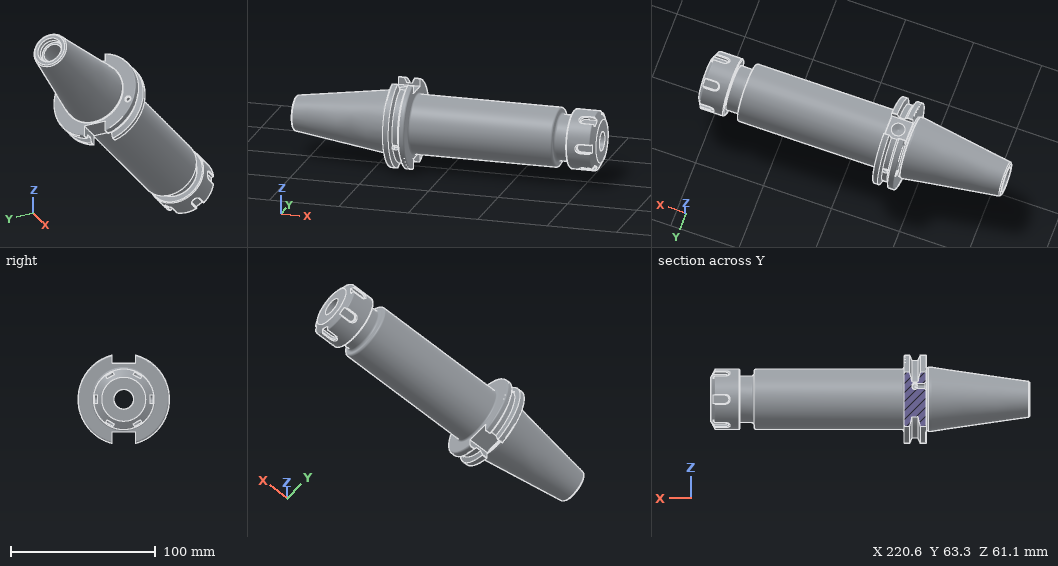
import cadquery as cq
import math

TOTAL_LENGTH = 220.6

TAPER_RATIO = 7 / 24
GAUGE_X = 68.0
GAUGE_RADIUS = 22.3
GAUGE_LAND = 2.5
LAND_CHAMFER = 0.5
NECK_RADIUS = 21.8
TAPER_END_CHAMFER = 0.9

FLANGE_X = 71.5
FLANGE_WIDTH = 15.7
FLANGE_RADIUS = 31.66
FLANGE_FRONT_FILLET = 0.7
FLANGE_BACK_FILLET = 1.3
GROOVE_CENTRE_X = 79.5
GROOVE_FLOOR_WIDTH = 4.0
GROOVE_RADIUS = 28.0
GROOVE_WALL_ANGLE = 25

DRIVE_SLOT_WIDTH = 16.0
DRIVE_SLOT_CHAMFER = 0.33
TOP_SLOT_FLOOR = 25.0
BOTTOM_SLOT_FLOOR = 22.7
DIMPLE_DIAMETER = 9.5
DIMPLE_ANGLE = 120

COOLANT_MOUTH_DIAMETER = 4.2
COOLANT_MOUTH_DEPTH = 0.9
COOLANT_DIAMETER = 3.3
COOLANT_OUTLET_DIAMETER = 4.0
COOLANT_OUTLET_DEPTH = 2.6
COOLANT_RADIUS = 27.0
COOLANT_ANGLE = 20

BODY_RADIUS = 21.0
BODY_END_X = 190.6
BODY_END_FILLET = 1.5
ROOT_FILLET = 1.3
SHANK_RADIUS = 16.22
SHANK_FILLET = 1.8
SPIGOT_RADIUS = 16.0
SPIGOT_END_X = 214.0

BORE_DIAMETER = 13.5
COUNTERBORE_DIAMETER = 16.3
COUNTERBORE_DEPTH = 5.0
COUNTERSINK_DIAMETER = 18.0
COUNTERSINK_DEPTH = 2.2

NUT_X = 200.4
NUT_RADIUS = 21.0
NUT_BACK_CHAMFER = 0.7
NUT_CONE_X = 217.5
NUT_CONE_FILLET = 0.9
NUT_FACE_RADIUS = 15.2
NUT_SLOT_COUNT = 6
NUT_SLOT_START_X = 207.5
NUT_SLOT_FLOOR = 18.0
NUT_SLOT_WIDTH = 5.7
NUT_SLOT_RIM_RADIUS = 20.0
NUT_SLOT_RIM_CHAMFER = 0.7
RIM_ANGLE = 45

CLEARANCE = 2.2


def revolve_about_x(profile):
    """Revolve a closed profile drawn as (x, radius) about the X axis."""
    return profile.close().revolve(360, (0, 0, 0), (1, 0, 0))


def cylinder_along_x(radius, start, length):
    return cq.Workplane("YZ", origin=(start, 0, 0)).circle(radius).extrude(length)


def turned_holder():
    tip_radius = GAUGE_RADIUS - GAUGE_X * TAPER_RATIO / 2
    land_end = GAUGE_X + GAUGE_LAND
    flange_end = FLANGE_X + FLANGE_WIDTH
    return revolve_about_x(
        cq.Workplane("XY")
        .moveTo(0, 0)
        .lineTo(0, tip_radius - TAPER_END_CHAMFER)
        .lineTo(TAPER_END_CHAMFER, tip_radius + TAPER_END_CHAMFER * TAPER_RATIO / 2)
        .lineTo(GAUGE_X, GAUGE_RADIUS)
        .lineTo(land_end - LAND_CHAMFER, GAUGE_RADIUS)
        .lineTo(land_end, NECK_RADIUS)
        .lineTo(FLANGE_X, NECK_RADIUS)
        .lineTo(FLANGE_X, FLANGE_RADIUS - FLANGE_FRONT_FILLET)
        .radiusArc((FLANGE_X + FLANGE_FRONT_FILLET, FLANGE_RADIUS), FLANGE_FRONT_FILLET)
        .lineTo(flange_end - FLANGE_BACK_FILLET, FLANGE_RADIUS)
        .radiusArc((flange_end, FLANGE_RADIUS - FLANGE_BACK_FILLET), FLANGE_BACK_FILLET)
        .lineTo(flange_end, BODY_RADIUS + ROOT_FILLET)
        .radiusArc((flange_end + ROOT_FILLET, BODY_RADIUS), -ROOT_FILLET)
        .lineTo(BODY_END_X - BODY_END_FILLET, BODY_RADIUS)
        .radiusArc((BODY_END_X, BODY_RADIUS - BODY_END_FILLET), BODY_END_FILLET)
        .lineTo(BODY_END_X, SHANK_RADIUS + SHANK_FILLET)
        .radiusArc((BODY_END_X + SHANK_FILLET, SHANK_RADIUS), -SHANK_FILLET)
        .lineTo(NUT_X, SHANK_RADIUS)
        .lineTo(NUT_X, SPIGOT_RADIUS)
        .lineTo(SPIGOT_END_X, SPIGOT_RADIUS)
        .lineTo(SPIGOT_END_X, 0)
    )


def gripper_groove():
    top_radius = FLANGE_RADIUS + CLEARANCE
    half_floor = GROOVE_FLOOR_WIDTH / 2
    half_top = half_floor + (top_radius - GROOVE_RADIUS) * math.tan(math.radians(GROOVE_WALL_ANGLE))
    return revolve_about_x(
        cq.Workplane("XY")
        .moveTo(GROOVE_CENTRE_X - half_floor, GROOVE_RADIUS)
        .lineTo(GROOVE_CENTRE_X + half_floor, GROOVE_RADIUS)
        .lineTo(GROOVE_CENTRE_X + half_top, top_radius)
        .lineTo(GROOVE_CENTRE_X - half_top, top_radius)
    )


def drive_slot(floor, direction):
    """Slot across the flange; direction is +1 for the top and -1 for the bottom."""
    half_width = DRIVE_SLOT_WIDTH / 2
    rim = math.sqrt(FLANGE_RADIUS**2 - half_width**2)
    chamfer_start = rim - DRIVE_SLOT_CHAMFER
    top = FLANGE_RADIUS + CLEARANCE
    half_top = half_width + top - chamfer_start
    slot = (
        cq.Workplane("YZ", origin=(FLANGE_X, 0, 0))
        .moveTo(-half_width, floor)
        .lineTo(half_width, floor)
        .lineTo(half_width, chamfer_start)
        .lineTo(half_top, top)
        .lineTo(-half_top, top)
        .lineTo(-half_width, chamfer_start)
        .close()
        .extrude(FLANGE_WIDTH)
    )
    return slot if direction > 0 else slot.rotate((0, 0, 0), (1, 0, 0), 180)


def orientation_dimple():
    """Conical dimple in the floor of the top slot."""
    radius = DIMPLE_DIAMETER / 2
    depth = radius / math.tan(math.radians(DIMPLE_ANGLE / 2))
    rim_centre = cq.Vector(GROOVE_CENTRE_X, 0, TOP_SLOT_FLOOR)
    cone = cq.Solid.makeCone(radius, 0, depth, rim_centre, cq.Vector(0, 0, -1))
    return cq.Workplane(obj=cone)


def coolant_hole(angle):
    """Stepped hole from the flange front face that meets a radial outlet in the groove floor."""
    mouth = cylinder_along_x(COOLANT_MOUTH_DIAMETER / 2, FLANGE_X, COOLANT_MOUTH_DEPTH)
    feed = cylinder_along_x(COOLANT_DIAMETER / 2, FLANGE_X, GROOVE_CENTRE_X - FLANGE_X)
    outlet = (
        cq.Workplane("XZ", origin=(GROOVE_CENTRE_X, GROOVE_RADIUS - COOLANT_OUTLET_DEPTH, 0))
        .circle(COOLANT_OUTLET_DIAMETER / 2)
        .extrude(-COOLANT_OUTLET_DEPTH - CLEARANCE)
    )
    hole = mouth.union(feed).translate((0, COOLANT_RADIUS, 0)).union(outlet)
    return hole.rotate((0, 0, 0), (1, 0, 0), angle)


def stepped_bore(end):
    """Through bore with a counterbore and a countersink at the taper end."""
    bore_radius = BORE_DIAMETER / 2
    counterbore_radius = COUNTERBORE_DIAMETER / 2
    countersink_radius = COUNTERSINK_DIAMETER / 2
    return revolve_about_x(
        cq.Workplane("XY")
        .moveTo(0, 0)
        .lineTo(0, countersink_radius)
        .lineTo(COUNTERSINK_DEPTH, counterbore_radius)
        .lineTo(COUNTERBORE_DEPTH, counterbore_radius)
        .lineTo(COUNTERBORE_DEPTH, bore_radius)
        .lineTo(end, bore_radius)
        .lineTo(end, 0)
    )


def make_holder():
    holder = turned_holder().cut(gripper_groove())
    holder = holder.cut(drive_slot(TOP_SLOT_FLOOR, 1)).cut(drive_slot(BOTTOM_SLOT_FLOOR, -1))
    holder = holder.cut(orientation_dimple())
    for angle in (COOLANT_ANGLE, COOLANT_ANGLE + 180):
        holder = holder.cut(coolant_hole(angle))
    return holder.cut(stepped_bore(SPIGOT_END_X))


def turned_nut():
    bore_radius = BORE_DIAMETER / 2
    return revolve_about_x(
        cq.Workplane("XY")
        .moveTo(NUT_X, SPIGOT_RADIUS)
        .lineTo(NUT_X, NUT_RADIUS - NUT_BACK_CHAMFER)
        .lineTo(NUT_X + NUT_BACK_CHAMFER, NUT_RADIUS)
        .lineTo(NUT_CONE_X, NUT_RADIUS)
        .lineTo(TOTAL_LENGTH, NUT_FACE_RADIUS)
        .lineTo(TOTAL_LENGTH, bore_radius)
        .lineTo(SPIGOT_END_X, bore_radius)
        .lineTo(SPIGOT_END_X, SPIGOT_RADIUS)
    )


def spanner_slot(angle):
    """Round-ended slot with a chamfered rim, cut from -Y and turned about X by the angle."""
    start = NUT_SLOT_START_X + NUT_SLOT_RIM_CHAMFER
    end = TOTAL_LENGTH + NUT_SLOT_WIDTH
    top_radius = NUT_RADIUS + CLEARANCE

    def slot_from(radius, taper):
        return (
            cq.Workplane("XZ", origin=((start + end) / 2, -radius, 0))
            .slot2D(end - start, NUT_SLOT_WIDTH)
            .extrude(top_radius - radius, taper=taper)
        )

    slot = slot_from(NUT_SLOT_FLOOR, 0).union(slot_from(NUT_SLOT_RIM_RADIUS, -RIM_ANGLE))
    return slot.rotate((0, 0, 0), (1, 0, 0), angle)


def make_nut():
    nut = turned_nut()
    cone_edge = cq.selectors.NearestToPointSelector((NUT_CONE_X, 0, 0))
    nut = nut.edges(cone_edge).fillet(NUT_CONE_FILLET)
    for index in range(NUT_SLOT_COUNT):
        nut = nut.cut(spanner_slot(index * 360 / NUT_SLOT_COUNT))
    return nut


holder = make_holder()
nut = make_nut()

result = cq.Compound.makeCompound([holder.val(), nut.val()])